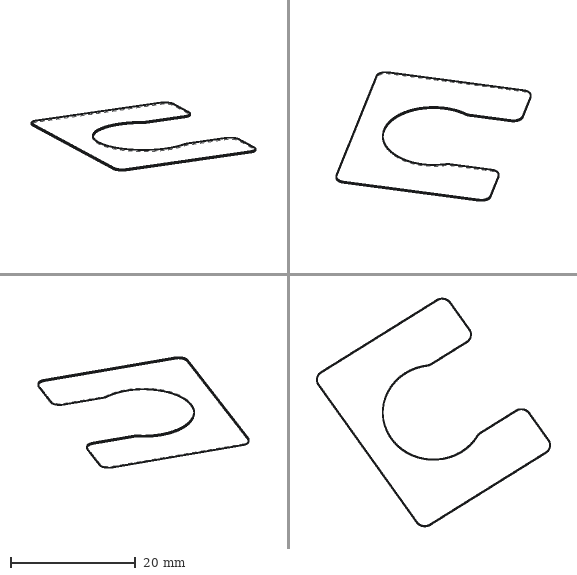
import cadquery as cq
import math

INCH = 25.4

plate_width = 1.24 * INCH
plate_depth = 1.0 * INCH
plate_thickness = 0.25

opening_radius = 0.32 * INCH
slot_width = 0.56 * INCH

corner_radius = 0.06 * INCH

pick_reach = corner_radius / 2


def make_plate():
    """Flat rectangular plate, centred in X and Y, resting on Z = 0."""
    return cq.Workplane("XY").box(
        plate_width, plate_depth, plate_thickness, centered=(True, True, False)
    )


def cut_keyhole(plate):
    """Cut the round opening and the slot that joins it to the +Y edge."""
    slot_length = plate_depth / 2
    opening = cq.Workplane("XY").circle(opening_radius).extrude(plate_thickness)
    slot = (
        cq.Workplane("XY")
        .center(0, slot_length / 2)
        .rect(slot_width, slot_length)
        .extrude(plate_thickness)
    )
    return plate.cut(opening.union(slot))


def round_plate_corners(plate):
    """Round the four outer corners and the two corners at the slot mouth."""
    return plate.edges("|Z").edges("<Y or >Y").fillet(corner_radius)


def round_throat(plate):
    """Round the two corners where the slot walls meet the round opening."""
    half_slot = slot_width / 2
    throat_y = math.sqrt(opening_radius**2 - half_slot**2)
    for throat_x in (-half_slot, half_slot):
        pick_box = cq.selectors.BoxSelector(
            (throat_x - pick_reach, throat_y - pick_reach, 0),
            (throat_x + pick_reach, throat_y + pick_reach, plate_thickness),
        )
        plate = plate.edges("|Z").edges(pick_box).fillet(corner_radius)
    return plate


plate = make_plate()
plate = cut_keyhole(plate)
plate = round_plate_corners(plate)
result = round_throat(plate)